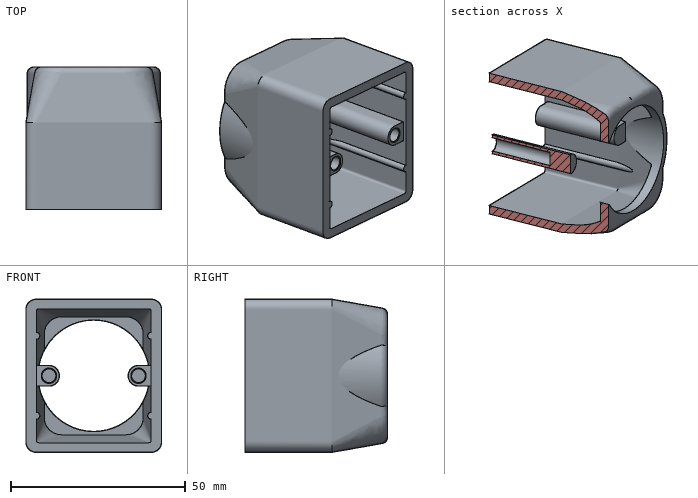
import cadquery as cq
import math


width = 39.0
height = 44.0
length = 41.0
straight_length = 25.0
taper_slope = math.tan(math.radians(10))
corner_radius = 3.0
back_corner_radius = 8.35
back_fillet = 2.02

side_wall = 3.0
top_wall = 2.75
back_wall = 3.0
cavity_corner_radius = 0.75
cavity_back_corner_radius = 4.95
cavity_width = width - 2 * side_wall
cavity_height = height - 2 * top_wall
cavity_depth = length - back_wall

opening_radius = 15.95
bulge_radius = 19.15
opening_start = straight_length + (cavity_width / 2 - opening_radius) / taper_slope

boss_radius = 3.0
boss_center_x = 12.85
boss_recess = 1.0
screw_hole_radius = 2.0
screw_hole_depth = 19.8
screw_hole_chamfer = 0.2

rib_radius = 1.0
rib_height = 11.5


def section_plane(y):
    """XZ plane at the given Y whose extrusions run toward +Y."""
    return cq.Plane(origin=(0, y, 0), xDir=(1, 0, 0), normal=(0, 1, 0))


def rounded_block(x_size, z_size, radius, depth):
    """Straight block from the rim to the given depth with rounded corners along Y."""
    block = cq.Workplane(section_plane(0)).rect(x_size, z_size).extrude(depth)
    return block.edges("|Y").fillet(radius)


def tapered_block(x_size, z_size, front_radius, back_radius, end):
    """Block narrowing from the straight part to the given Y, with conical corners."""
    depth = end - straight_length
    narrowing = 2 * depth * taper_slope
    front = cq.Sketch().rect(x_size, z_size).vertices().fillet(front_radius)
    back = cq.Sketch().rect(x_size - narrowing, z_size - narrowing).vertices().fillet(back_radius)
    sections = cq.Workplane(section_plane(straight_length)).placeSketch(
        front, back.moved(cq.Location(cq.Vector(0, 0, depth)))
    )
    return sections.loft(ruled=True)


def rod(x, z, radius, start, end):
    """Round bar parallel to Y."""
    return cq.Workplane(section_plane(start)).center(x, -z).circle(radius).extrude(end - start)


def make_outer_body():
    straight = rounded_block(width, height, corner_radius, straight_length)
    taper = tapered_block(width, height, corner_radius, back_corner_radius, length)
    bulge = rod(0, 0, bulge_radius, straight_length, length)
    rear = taper.union(bulge).faces(">Y").edges().fillet(back_fillet)
    return straight.union(rear)


def make_cavity():
    straight = rounded_block(cavity_width, cavity_height, cavity_corner_radius, straight_length)
    taper = tapered_block(
        cavity_width, cavity_height, cavity_corner_radius, cavity_back_corner_radius, cavity_depth
    )
    return straight.union(taper)


def make_boss(side):
    """Round-nosed boss joined to one side wall; side is -1 or +1."""
    center_x = side * boss_center_x
    boss_length = opening_start - boss_recess
    web_length = width / 2 - side_wall / 2 - boss_center_x
    web = (
        cq.Workplane(section_plane(boss_recess))
        .center(center_x + side * web_length / 2, 0)
        .rect(web_length, 2 * boss_radius)
        .extrude(boss_length)
    )
    return web.union(rod(center_x, 0, boss_radius, boss_recess, opening_start))


def make_screw_hole(side):
    """Blind hole with a chamfered mouth; side is -1 or +1."""
    center_x = side * boss_center_x
    hole = rod(center_x, 0, screw_hole_radius, boss_recess, boss_recess + screw_hole_depth)
    mouth = cq.Solid.makeCone(
        screw_hole_radius + screw_hole_chamfer,
        screw_hole_radius,
        screw_hole_chamfer,
        cq.Vector(center_x, boss_recess, 0),
        cq.Vector(0, 1, 0),
    )
    return hole.union(cq.Workplane(mouth))


def make_rib(side, z):
    """Guide rib that runs from the rim until it fades into the sloping wall."""
    return rod(side * cavity_width / 2, z, rib_radius, 0, straight_length + rib_radius / taper_slope)


result = make_outer_body().cut(make_cavity())
result = result.cut(rod(0, 0, opening_radius, opening_start, length))

for side in (-1, 1):
    result = result.union(make_boss(side)).cut(make_screw_hole(side))
    for z in (-rib_height, rib_height):
        result = result.union(make_rib(side, z))